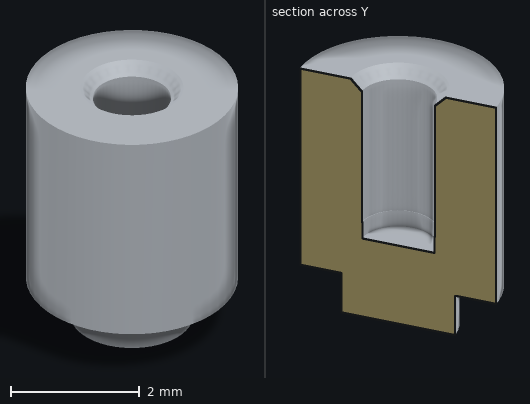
import cadquery as cq

total_height = 4.2
body_diameter = 3.3
spigot_diameter = 1.91
spigot_height = 0.7

hole_diameter = 1.22
hole_depth = 2.52
hole_end_diameter = 1.2
hole_end_depth = 2.8
countersink_diameter = 1.6
countersink_angle = 90.0


def make_spigot():
    return cq.Workplane("XY").circle(spigot_diameter / 2).extrude(spigot_height)


def add_body(spigot):
    return (
        spigot.faces(">Z")
        .workplane()
        .circle(body_diameter / 2)
        .extrude(total_height - spigot_height)
    )


def cut_stepped_hole(body):
    top = body.faces(">Z").workplane()
    narrow_bore = top.hole(hole_end_diameter, depth=hole_end_depth)
    return (
        narrow_bore.faces(">Z")
        .workplane(centerOption="CenterOfBoundBox")
        .cskHole(hole_diameter, countersink_diameter, countersink_angle, depth=hole_depth)
    )


result = cut_stepped_hole(add_body(make_spigot()))